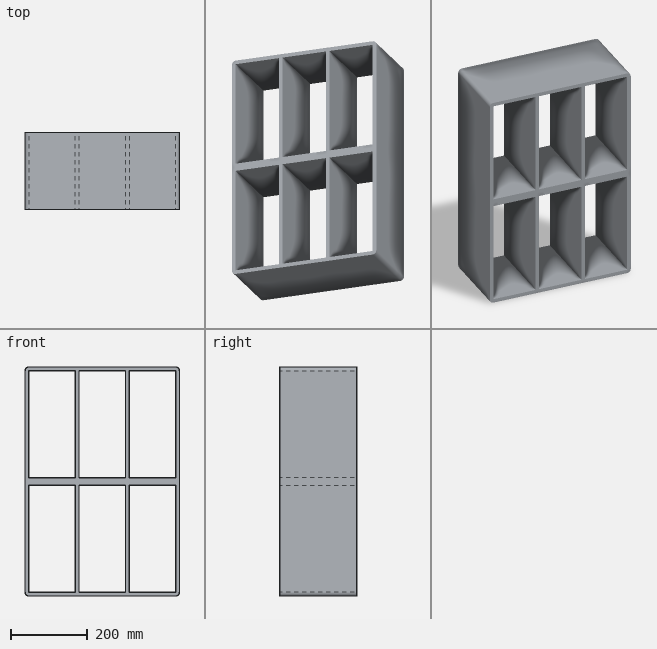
import cadquery as cq

width = 402.0
depth = 200.0
height = 596.0

board = 10.0
middle_shelf = 2 * board
corner_radius = 10.0

columns = 3
rows = 2
opening_width = (width - (columns + 1) * board) / columns
opening_height = (height - 2 * board - (rows - 1) * middle_shelf) / rows
column_pitch = opening_width + board
row_pitch = opening_height + middle_shelf

case = cq.Workplane("XY").box(width, depth, height).edges("|Y").fillet(corner_radius)

compartments = (
    cq.Workplane("XZ")
    .rarray(column_pitch, row_pitch, columns, rows)
    .rect(opening_width, opening_height)
    .extrude(depth / 2, both=True)
)

result = case.cut(compartments)